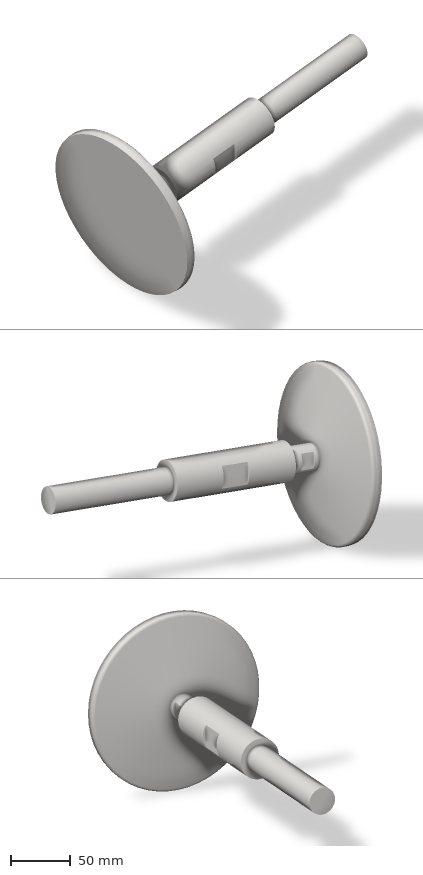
import cadquery as cq
import math


disc_diameter = 158.0
pad_thickness = 4.1
pad_taper = 0.6
cone_base_y = 9.3
cone_top_y = 21.0
rim_fillet = 3.0

neck_diameter = 24.0
sleeve_diameter = 36.0
rod_diameter = 24.0
sleeve_start_y = 48.0
sleeve_length = 115.5
total_length = 279.0
sleeve_end_y = sleeve_start_y + sleeve_length

neck_flats_width = 19.0
neck_flats_length = 12.0
neck_flats_center_y = 32.0
sleeve_flats_width = 30.0
sleeve_flats_length = 25.0
sleeve_flats_center_y = 106.0


def make_pad():
    """Flat round pad under the plate, slightly narrower at its floor face."""
    disc_radius = disc_diameter / 2
    profile = cq.Workplane("XY").polyline([
        (0, 0),
        (disc_radius - pad_taper, 0),
        (disc_radius, pad_thickness),
        (0, pad_thickness),
    ]).close()
    return profile.revolve(360, (0, 0, 0), (0, 1, 0))


def make_turned_foot():
    """Conical plate and stepped spindle, with the plate rim rounded into the cone."""
    disc_radius = disc_diameter / 2
    neck_radius = neck_diameter / 2
    sleeve_radius = sleeve_diameter / 2
    rod_radius = rod_diameter / 2

    cone_angle = math.atan2(cone_top_y - cone_base_y, disc_radius - neck_radius)
    turn = math.pi / 2 - cone_angle
    fillet_center_x = disc_radius - rim_fillet
    fillet_center_y = cone_base_y - rim_fillet * math.tan(turn / 2)

    def fillet_point(angle):
        return (
            fillet_center_x + rim_fillet * math.cos(angle),
            fillet_center_y + rim_fillet * math.sin(angle),
        )

    profile = (
        cq.Workplane("XY")
        .moveTo(0, pad_thickness)
        .lineTo(disc_radius, pad_thickness)
        .lineTo(*fillet_point(0))
        .threePointArc(fillet_point(turn / 2), fillet_point(turn))
        .lineTo(neck_radius, cone_top_y)
        .lineTo(neck_radius, sleeve_start_y)
        .lineTo(sleeve_radius, sleeve_start_y)
        .lineTo(sleeve_radius, sleeve_end_y)
        .lineTo(rod_radius, sleeve_end_y)
        .lineTo(rod_radius, total_length)
        .lineTo(0, total_length)
        .close()
    )
    return profile.revolve(360, (0, 0, 0), (0, 1, 0))


def cut_flats(body, diameter, width, length, center_y):
    """Cut two parallel wrench flats, the given width apart across X."""
    for side in (-1, 1):
        cutter = cq.Workplane("XY").box(diameter, length, 2 * diameter)
        body = body.cut(cutter.translate((side * (width + diameter) / 2, center_y, 0)))
    return body


pad = make_pad()

foot = make_turned_foot()
foot = cut_flats(foot, neck_diameter, neck_flats_width, neck_flats_length, neck_flats_center_y)
foot = cut_flats(foot, sleeve_diameter, sleeve_flats_width, sleeve_flats_length, sleeve_flats_center_y)

result = cq.Compound.makeCompound([pad.val(), foot.val()])